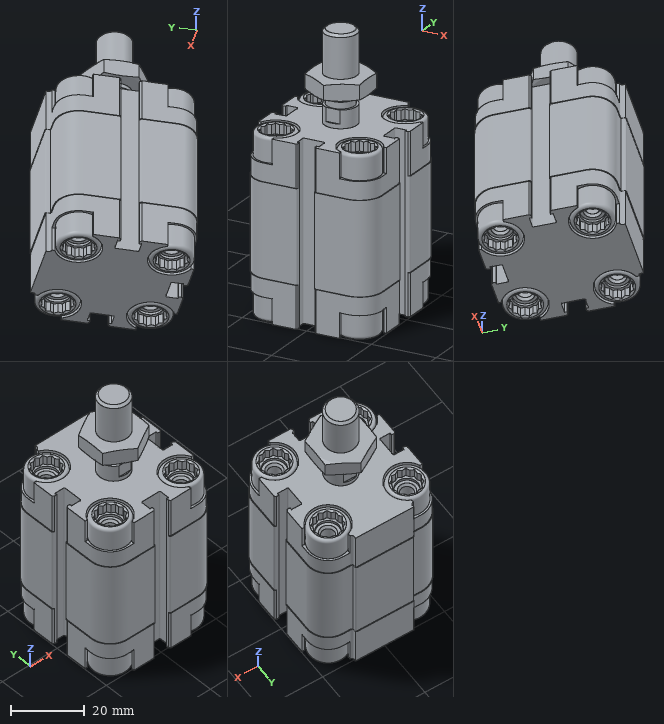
import cadquery as cq
import math


TOTAL_HEIGHT = 82.0
HOUSING_HEIGHT = 54.45
CAP_HEIGHT = 13.0
TUBE_HEIGHT = HOUSING_HEIGHT - 2 * CAP_HEIGHT

SCREW_OFFSET = 12.95
CORNER_RADIUS = 7.05
FACE_OFFSET = SCREW_OFFSET + CORNER_RADIUS
CAP_INSET = 0.205
CAP_FACE_OFFSET = FACE_OFFSET - CAP_INSET
TONGUE_HALF_WIDTH = 9.6
TONGUE_HEIGHT = 1.5
TONGUE_ROOT_RADIUS = 0.8
TUBE_EDGE_RADIUS = 0.5

SLOT_MOUTH_WIDTH = 5.25
SLOT_WIDTH = 6.7
SLOT_LIP = 1.55
SLOT_DEPTH = 5.0
SLOT_FLOOR_RADIUS = 0.3
SLOT_MOUTH_CHAMFER = 0.5

HEAD_DIAMETER = 12.5
HEAD_HEIGHT = 7.55
HEAD_FILLET = 1.1
CLEARANCE_DIAMETER = 13.0
POCKET_START = 10.4
FUNNEL_DIAMETER = 10.0
FUNNEL_DEPTH = 0.4
SOCKET_ACROSS_FLATS = 8.0
SOCKET_DEPTH = 3.3
COUNTERBORE_DIAMETER = 7.2
COUNTERBORE_DEPTH = 4.1
CONE_DIAMETER = 5.25
CONE_HEIGHT = 0.8
THROUGH_DIAMETER = 4.1

ROD_DIAMETER = 10.0
NECK_DIAMETER = 8.45
ROD_CHAMFER = (ROD_DIAMETER - NECK_DIAMETER) / 2
NECK_BOTTOM = HOUSING_HEIGHT + 5.5
THREAD_BOTTOM = HOUSING_HEIGHT + 7.5
FLATS_ACROSS = 9.0
FLATS_HEIGHT = 4.1

NUT_ACROSS_FLATS = 17.0
NUT_HEIGHT = 5.0
NUT_BOTTOM = HOUSING_HEIGHT + 9.5
NUT_CHAMFER_HEIGHT = 0.3


def cylinder(diameter, bottom, height):
    return cq.Workplane("XY").workplane(offset=bottom).circle(diameter / 2).extrude(height)


def cone(bottom_diameter, top_diameter, bottom, height):
    """Frustum on the Z axis."""
    lower = cq.Workplane("XY").workplane(offset=bottom).circle(bottom_diameter / 2)
    return lower.workplane(offset=height).circle(top_diameter / 2).loft()


def hexagon(across_flats, bottom, height, turn):
    corner_diameter = across_flats / math.cos(math.pi / 6)
    prism = cq.Workplane("XY").workplane(offset=bottom).polygon(6, corner_diameter).extrude(height)
    return prism.rotate((0, 0, 0), (0, 0, 1), turn)




def tube_tongue():
    """Raised band on the +Y face of the tube, with rounded outer edges."""
    top = FACE_OFFSET + TONGUE_HEIGHT
    band = cq.Workplane("XY").center(0, top / 2).rect(2 * TONGUE_HALF_WIDTH, top).extrude(TUBE_HEIGHT)
    return band.edges("|Z and >Y").fillet(TUBE_EDGE_RADIUS)


def cap_tongue():
    """Raised band on the +Y face of a cap, with a concave round along both roots."""
    top = CAP_FACE_OFFSET + TONGUE_HEIGHT
    foot = TONGUE_HALF_WIDTH + TONGUE_ROOT_RADIUS
    shoulder = CAP_FACE_OFFSET + TONGUE_ROOT_RADIUS
    return (
        cq.Workplane("XY")
        .moveTo(-foot, 0)
        .lineTo(-foot, CAP_FACE_OFFSET)
        .radiusArc((-TONGUE_HALF_WIDTH, shoulder), -TONGUE_ROOT_RADIUS)
        .lineTo(-TONGUE_HALF_WIDTH, top)
        .lineTo(TONGUE_HALF_WIDTH, top)
        .lineTo(TONGUE_HALF_WIDTH, shoulder)
        .radiusArc((foot, CAP_FACE_OFFSET), -TONGUE_ROOT_RADIUS)
        .lineTo(foot, 0)
        .close()
        .extrude(CAP_HEIGHT)
    )


def slot_channel(height):
    """Cutter for the wide inner part of the -Y slot."""
    floor = SLOT_DEPTH - FACE_OFFSET
    lip = SLOT_LIP - FACE_OFFSET
    channel = cq.Workplane("XY").center(0, (floor + lip) / 2).rect(SLOT_WIDTH, floor - lip).extrude(height)
    return channel.edges("|Z and >Y").fillet(SLOT_FLOOR_RADIUS)


def tube_slot():
    """Cutter for the -Y slot of the tube, whose mouth has rounded edges."""
    lip = SLOT_LIP - FACE_OFFSET
    half_mouth = SLOT_MOUTH_WIDTH / 2
    half_flare = half_mouth + TUBE_EDGE_RADIUS
    round_end = TUBE_EDGE_RADIUS - FACE_OFFSET
    mouth = (
        cq.Workplane("XY")
        .moveTo(-half_mouth, lip)
        .lineTo(half_mouth, lip)
        .lineTo(half_mouth, round_end)
        .radiusArc((half_flare, -FACE_OFFSET), -TUBE_EDGE_RADIUS)
        .lineTo(-half_flare, -FACE_OFFSET)
        .radiusArc((-half_mouth, round_end), -TUBE_EDGE_RADIUS)
        .close()
        .extrude(TUBE_HEIGHT)
    )
    return slot_channel(TUBE_HEIGHT).union(mouth)


def cap_slot():
    """Cutter for the -Y slot of a cap, whose mouth has chamfered edges."""
    lip = SLOT_LIP - FACE_OFFSET
    half_mouth = SLOT_MOUTH_WIDTH / 2
    half_flare = half_mouth + SLOT_MOUTH_CHAMFER
    chamfer_end = SLOT_MOUTH_CHAMFER - CAP_FACE_OFFSET
    mouth = (
        cq.Workplane("XY")
        .moveTo(-half_mouth, lip)
        .lineTo(half_mouth, lip)
        .lineTo(half_mouth, chamfer_end)
        .lineTo(half_flare, -CAP_FACE_OFFSET)
        .lineTo(-half_flare, -CAP_FACE_OFFSET)
        .lineTo(-half_mouth, chamfer_end)
        .close()
        .extrude(CAP_HEIGHT)
    )
    return slot_channel(CAP_HEIGHT).union(mouth)


def profile_block(face, corner_radius, height, tongue, slot):
    """Rounded square block with the tongue added and the slot cut into three faces."""
    block = cq.Workplane("XY").rect(2 * face, 2 * face).extrude(height)
    block = block.edges("|Z").fillet(corner_radius).union(tongue)
    for turn in (-90, 0, 90):
        block = block.cut(slot.rotate((0, 0, 0), (0, 0, 1), turn))
    return block


def corner_pocket():
    """Space around the head at the +X, +Y corner of the top cap."""
    size = FACE_OFFSET - POCKET_START
    bottom = HOUSING_HEIGHT - HEAD_HEIGHT
    corner = cq.Workplane("XY").box(size, size, HEAD_HEIGHT, centered=False)
    corner = corner.translate((POCKET_START, POCKET_START, bottom))
    clearance = cylinder(CLEARANCE_DIAMETER, bottom, HEAD_HEIGHT).translate((SCREW_OFFSET, SCREW_OFFSET, 0))
    return corner.union(clearance)


def screw_head():
    """Rounded head at the +X, +Y corner of the top cap."""
    head = cylinder(HEAD_DIAMETER, HOUSING_HEIGHT - HEAD_HEIGHT, HEAD_HEIGHT)
    return head.faces(">Z").edges().fillet(HEAD_FILLET).translate((SCREW_OFFSET, SCREW_OFFSET, 0))


def screw_socket():
    """Cutter at the +X, +Y corner: funnel, twelve-point socket, counterbore, cone and bore."""
    top = HOUSING_HEIGHT
    cutter = cone(SOCKET_ACROSS_FLATS, FUNNEL_DIAMETER, top - FUNNEL_DEPTH, FUNNEL_DEPTH)
    for turn in (0, 30):
        cutter = cutter.union(hexagon(SOCKET_ACROSS_FLATS, top - SOCKET_DEPTH, SOCKET_DEPTH, turn))
    cutter = cutter.union(cylinder(COUNTERBORE_DIAMETER, top - COUNTERBORE_DEPTH, COUNTERBORE_DEPTH))
    cone_bottom = top - COUNTERBORE_DEPTH - CONE_HEIGHT
    cutter = cutter.union(cone(THROUGH_DIAMETER, CONE_DIAMETER, cone_bottom, CONE_HEIGHT))
    cutter = cutter.union(cylinder(THROUGH_DIAMETER, top / 2, top / 2))
    return cutter.translate((SCREW_OFFSET, SCREW_OFFSET, 0))


def at_every_corner(shape):
    """Copies of a +X, +Y top corner shape at the four corners of both caps."""
    middle = (0, 0, HOUSING_HEIGHT / 2)
    bottom_shape = shape.mirror("XY", middle)
    copies = []
    for turn in (0, 90, 180, 270):
        copies.append(shape.rotate((0, 0, 0), (0, 0, 1), turn))
        copies.append(bottom_shape.rotate((0, 0, 0), (0, 0, 1), turn))
    return copies


def make_housing():
    tube = profile_block(FACE_OFFSET, CORNER_RADIUS, TUBE_HEIGHT, tube_tongue(), tube_slot())
    cap = profile_block(CAP_FACE_OFFSET, CORNER_RADIUS - CAP_INSET, CAP_HEIGHT, cap_tongue(), cap_slot())
    body = tube.translate((0, 0, CAP_HEIGHT))
    for bottom in (0, HOUSING_HEIGHT - CAP_HEIGHT):
        body = body.union(cap.translate((0, 0, bottom)))
    for pocket in at_every_corner(corner_pocket()):
        body = body.cut(pocket)
    for head in at_every_corner(screw_head()):
        body = body.union(head)
    for socket in at_every_corner(screw_socket()):
        body = body.cut(socket)
    return body




def make_rod():
    """Stepped rod standing on the housing, with a spanner flat on -Y and on +Y."""
    radius = ROD_DIAMETER / 2
    neck_radius = NECK_DIAMETER / 2
    half_profile = [
        (0, HOUSING_HEIGHT),
        (radius, HOUSING_HEIGHT),
        (radius, NECK_BOTTOM),
        (neck_radius, NECK_BOTTOM),
        (neck_radius, THREAD_BOTTOM),
        (radius, THREAD_BOTTOM + ROD_CHAMFER),
        (radius, TOTAL_HEIGHT - ROD_CHAMFER),
        (neck_radius, TOTAL_HEIGHT),
        (0, TOTAL_HEIGHT),
    ]
    rod = cq.Workplane("XZ").polyline(half_profile).close().revolve(360, (0, 0, 0), (0, 1, 0))
    flats_bottom = NECK_BOTTOM - FLATS_HEIGHT
    between_flats = cq.Workplane("XY").box(ROD_DIAMETER, FLATS_ACROSS, FLATS_HEIGHT, (True, True, False))
    flats = cylinder(ROD_DIAMETER, 0, FLATS_HEIGHT).cut(between_flats)
    return rod.cut(flats.translate((0, 0, flats_bottom)))




def make_nut():
    """Hexagon nut with a corner on the Y axis and both ends chamfered."""
    corner_diameter = NUT_ACROSS_FLATS / math.cos(math.pi / 6)
    nut = hexagon(NUT_ACROSS_FLATS, NUT_BOTTOM, NUT_HEIGHT, 30)
    lower = cone(NUT_ACROSS_FLATS, corner_diameter, NUT_BOTTOM, NUT_CHAMFER_HEIGHT)
    upper = lower.mirror("XY", (0, 0, NUT_BOTTOM + NUT_HEIGHT / 2))
    waist_height = NUT_HEIGHT - 2 * NUT_CHAMFER_HEIGHT
    waist = cylinder(corner_diameter, NUT_BOTTOM + NUT_CHAMFER_HEIGHT, waist_height)
    nut = nut.intersect(lower.union(waist).union(upper))
    return nut.cut(cylinder(ROD_DIAMETER, NUT_BOTTOM, NUT_HEIGHT))


housing = make_housing()
rod = make_rod()
nut = make_nut()

result = cq.Compound.makeCompound([housing.val(), rod.val(), nut.val()])